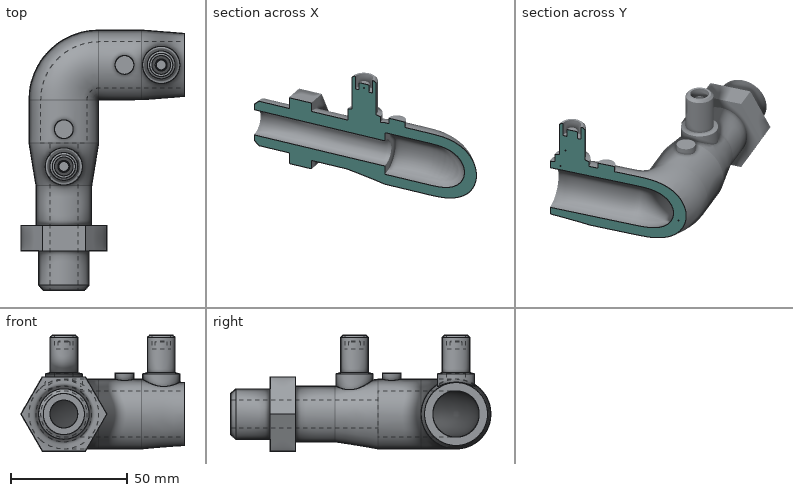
import cadquery as cq
import math

TUBE_RADIUS = 15.0
INLET_BORE_RADIUS = 12.0 / 2
MAIN_BORE_RADIUS = 10.0
BEND_RADIUS = TUBE_RADIUS
STRAIGHT_LENGTH = 18.5
TAPER_LENGTH = 18.5
OUTLET_RADIUS = 13.5

NECK_RADIUS = 12.0
NECK_LENGTH = 17.0
HEX_FLATS = 32.0
HEX_CORNERS = HEX_FLATS / math.cos(math.pi / 6)
HEX_LENGTH = 11.0
SPIGOT_RADIUS = 10.9
SPIGOT_LENGTH = 17.0
SPIGOT_CHAMFER_LENGTH = 2.2
SPIGOT_CHAMFER_DEPTH = 2.0

STEM_TOP = 33.9
STEM_RADIUS = 12.0 / 2
STEM_CHAMFER = 1.0
STEM_BASE_RADIUS = 16.0 / 2
STEM_BASE_TOP = 17.8
STEM_BASE_SLOPE_HEIGHT = 0.6
SOCKET_RADIUS = 4.0
SOCKET_DEPTH = 6.0
PIN_RADIUS = 2.6
PIN_HEIGHT = 3.5
PIN_CHAMFER = 0.5

BUTTON_RADIUS = 4.0
BUTTON_TOP = 17.6

INLET_STEM_OFFSET = 28.7
INLET_BUTTON_OFFSET = 12.7
OUTLET_STEM_OFFSET = 26.9
OUTLET_BUTTON_OFFSET = 11.1

TAPER_START = STRAIGHT_LENGTH
TAPER_END = TAPER_START + TAPER_LENGTH
HEX_START = TAPER_END + NECK_LENGTH
HEX_END = HEX_START + HEX_LENGTH
INLET_END = HEX_END + SPIGOT_LENGTH

INLET_PLANE = cq.Plane(origin=(0, 0, 0), xDir=(1, 0, 0), normal=(0, -1, 0))
OUTLET_PLANE = cq.Plane(origin=(BEND_RADIUS, BEND_RADIUS, 0), xDir=(0, 1, 0), normal=(1, 0, 0))


def leg(plane, profile):
    """Turn (radius, station) points about the normal of a plane."""
    outline = [(0, profile[0][1]), *profile, (0, profile[-1][1])]
    turned = cq.Workplane("XZ").polyline(outline).close().revolve(360, (0, 0), (0, 1))
    return cq.Workplane(turned.val().moved(cq.Location(plane)))


def bend(radius):
    """Quarter turn of a round section about the vertical line through the bend pivot."""
    section = cq.Workplane("XZ").circle(radius)
    return section.revolve(90, (BEND_RADIUS, 0), (BEND_RADIUS, -1))


def inlet_leg():
    body = leg(INLET_PLANE, [
        (TUBE_RADIUS, 0),
        (TUBE_RADIUS, TAPER_START),
        (NECK_RADIUS, TAPER_END),
        (NECK_RADIUS, HEX_END),
    ])
    spigot = leg(INLET_PLANE, [
        (SPIGOT_RADIUS, HEX_END),
        (SPIGOT_RADIUS, INLET_END - SPIGOT_CHAMFER_LENGTH),
        (SPIGOT_RADIUS - SPIGOT_CHAMFER_DEPTH, INLET_END),
    ])
    nut = (
        cq.Workplane("XZ", origin=(0, -HEX_START, 0))
        .polygon(6, HEX_CORNERS)
        .extrude(HEX_LENGTH)
    )
    return body.union(nut).union(spigot)


def outlet_leg():
    return leg(OUTLET_PLANE, [
        (TUBE_RADIUS, 0),
        (TUBE_RADIUS, TAPER_START),
        (OUTLET_RADIUS, TAPER_END),
    ])


def post(radius, top, x, y):
    """Vertical round post rising from the plane of the tube axes."""
    return cq.Workplane("XY").center(x, y).circle(radius).extrude(top)


def stem(x, y):
    """Test stem with a wide base sloping up to its barrel and a socket holding a center pin."""
    base = post(STEM_BASE_RADIUS, STEM_BASE_TOP, x, y).faces(">Z").chamfer(
        STEM_BASE_SLOPE_HEIGHT, STEM_BASE_RADIUS - STEM_RADIUS
    )
    barrel = post(STEM_RADIUS, STEM_TOP, x, y).faces(">Z").chamfer(STEM_CHAMFER)
    socket_floor = STEM_TOP - SOCKET_DEPTH
    socket = post(SOCKET_RADIUS, STEM_TOP, x, y).cut(post(SOCKET_RADIUS, socket_floor, x, y))
    pin = post(PIN_RADIUS, socket_floor + PIN_HEIGHT, x, y).faces(">Z").chamfer(PIN_CHAMFER)
    return base.union(barrel).cut(socket).union(pin)


def bore():
    """Round passage along the tube axis, narrow in the inlet and wide from the inlet taper onward."""
    inlet = leg(INLET_PLANE, [
        (MAIN_BORE_RADIUS, 0),
        (MAIN_BORE_RADIUS, TAPER_START),
        (INLET_BORE_RADIUS, TAPER_START),
        (INLET_BORE_RADIUS, INLET_END),
    ])
    outlet = leg(OUTLET_PLANE, [
        (MAIN_BORE_RADIUS, 0),
        (MAIN_BORE_RADIUS, TAPER_END),
    ])
    return [inlet, bend(MAIN_BORE_RADIUS), outlet]


result = inlet_leg().union(bend(TUBE_RADIUS)).union(outlet_leg())

inlet_stem = (0, -INLET_STEM_OFFSET)
outlet_stem = (BEND_RADIUS + OUTLET_STEM_OFFSET, BEND_RADIUS)
for x, y in (inlet_stem, outlet_stem):
    result = result.union(stem(x, y))

inlet_button = (0, -INLET_BUTTON_OFFSET)
outlet_button = (BEND_RADIUS + OUTLET_BUTTON_OFFSET, BEND_RADIUS)
for x, y in (inlet_button, outlet_button):
    result = result.union(post(BUTTON_RADIUS, BUTTON_TOP, x, y))

for passage in bore():
    result = result.cut(passage)